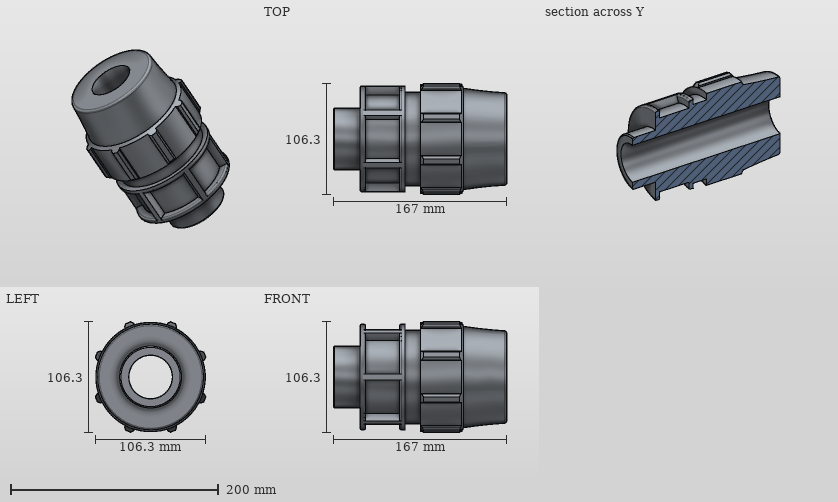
import math
import cadquery as cq


TOTAL_LENGTH = 167.0
COLLAR_START = 25.9
COLLAR_END = 69.0
COLLAR_RIM_WIDTH = 5.3
NUT_START = 83.7
NUT_END = 125.4

BORE_DIAMETER = 41.73
SPIGOT_RADIUS = 59.61 / 2
COLLAR_RADIUS = 101.7 / 2
CORE_RADIUS = 42.4
NECK_RADIUS = 90.4 / 2
NUT_RADIUS = 52.7
TAIL_START_RADIUS = 48.8
TAIL_END_RADIUS = 44.4
TAIL_SAG = 0.5

SPIGOT_CHAMFER = 1.3
COLLAR_FILLET = 1.5
WINDOW_FILLET = 1.9
TAIL_FILLET = 2.6

COLLAR_RIB_COUNT = 6
COLLAR_RIB_WIDTH = 6.0

GRIP_COUNT = 8
GRIP_TOP_RADIUS = 56.44
GRIP_TOP_WIDTH = 5.3
GRIP_SHOULDER_RADIUS = 54.0
GRIP_BASE_WIDTH = 9.4
GRIP_LEAD_LENGTH = 3.2
NUT_BEVEL_LENGTH = 2.0

GROOVE_START = COLLAR_START + COLLAR_RIM_WIDTH
GROOVE_END = COLLAR_END - COLLAR_RIM_WIDTH
NUT_BEVEL_SLOPE = (NUT_RADIUS - TAIL_START_RADIUS) / NUT_BEVEL_LENGTH


def cylinder(start, end, radius):
    """Solid cylinder on the X axis between two stations."""
    return cq.Workplane("YZ").workplane(offset=start).circle(radius).extrude(end - start)


def revolve_about_x(profile):
    """Close an (x, radius) outline and turn it a full circle about the X axis."""
    return profile.close().revolve(360, (0, 0, 0), (1, 0, 0))


def repeat_about_x(shape, count, first_angle):
    """Copies of a shape evenly spaced about the X axis, joined together."""
    pattern = cq.Workplane("YZ")
    for index in range(count):
        angle = first_angle + index * 360 / count
        pattern = pattern.union(shape.rotate((0, 0, 0), (1, 0, 0), angle))
    return pattern


def make_spigot():
    return cylinder(0, COLLAR_START, SPIGOT_RADIUS).faces("<X").edges().chamfer(SPIGOT_CHAMFER)


def make_collar():
    """Two rims around a smaller core, bridged by ribs that leave open windows."""
    front_rim = cylinder(COLLAR_START, GROOVE_START, COLLAR_RADIUS)
    front_rim = front_rim.faces("<X").edges().fillet(COLLAR_FILLET)
    front_rim = front_rim.faces(">X").edges().fillet(WINDOW_FILLET)
    rear_rim = cylinder(GROOVE_END, COLLAR_END, COLLAR_RADIUS)
    rear_rim = rear_rim.faces("<X").edges().fillet(WINDOW_FILLET)
    core = cylinder(COLLAR_START, COLLAR_END, CORE_RADIUS)

    rib_start = GROOVE_START - WINDOW_FILLET
    rib_end = GROOVE_END + WINDOW_FILLET
    bar = cq.Workplane("XY").box(
        rib_end - rib_start, COLLAR_RADIUS, COLLAR_RIB_WIDTH, centered=(False, False, True)
    ).translate((rib_start, 0, 0))
    ribs = repeat_about_x(bar, COLLAR_RIB_COUNT, 0)
    ribs = ribs.intersect(cylinder(rib_start, rib_end, COLLAR_RADIUS))
    return core.union(front_rim).union(rear_rim).union(ribs)


def make_neck():
    return cylinder(COLLAR_END, NUT_START, NECK_RADIUS)


def make_nut():
    """Nut barrel with grip ribs that narrow towards their tops, bevelled at both ends."""
    barrel = cylinder(NUT_START, NUT_END, NUT_RADIUS)

    root_radius = TAIL_START_RADIUS
    grip = (
        cq.Workplane("YZ")
        .workplane(offset=NUT_START)
        .moveTo(root_radius, -GRIP_BASE_WIDTH / 2)
        .lineTo(GRIP_SHOULDER_RADIUS, -GRIP_BASE_WIDTH / 2)
        .lineTo(GRIP_TOP_RADIUS, -GRIP_TOP_WIDTH / 2)
        .lineTo(GRIP_TOP_RADIUS, GRIP_TOP_WIDTH / 2)
        .lineTo(GRIP_SHOULDER_RADIUS, GRIP_BASE_WIDTH / 2)
        .lineTo(root_radius, GRIP_BASE_WIDTH / 2)
        .close()
        .extrude(NUT_END - NUT_START)
    )
    grips = repeat_about_x(grip, GRIP_COUNT, 180 / GRIP_COUNT)

    top_radius = math.hypot(GRIP_TOP_RADIUS, GRIP_TOP_WIDTH / 2)
    bevel_start = NUT_END - (top_radius - TAIL_START_RADIUS) / NUT_BEVEL_SLOPE
    envelope = revolve_about_x(
        cq.Workplane("XY")
        .moveTo(NUT_START, 0)
        .lineTo(NUT_START, NUT_RADIUS)
        .lineTo(NUT_START + GRIP_LEAD_LENGTH, top_radius)
        .lineTo(bevel_start, top_radius)
        .lineTo(NUT_END, TAIL_START_RADIUS)
        .lineTo(NUT_END, 0)
    )
    return barrel.union(grips).intersect(envelope)


def make_tail():
    """Slightly hollow taper behind the nut with a rounded end."""
    middle = (
        (NUT_END + TOTAL_LENGTH) / 2,
        (TAIL_START_RADIUS + TAIL_END_RADIUS) / 2 - TAIL_SAG,
    )
    tail = revolve_about_x(
        cq.Workplane("XY")
        .moveTo(NUT_END, 0)
        .lineTo(NUT_END, TAIL_START_RADIUS)
        .threePointArc(middle, (TOTAL_LENGTH, TAIL_END_RADIUS))
        .lineTo(TOTAL_LENGTH, 0)
    )
    return tail.faces(">X").edges().fillet(TAIL_FILLET)


body = make_spigot()
for section in (make_collar(), make_neck(), make_nut(), make_tail()):
    body = body.union(section)

result = body.cut(cylinder(0, TOTAL_LENGTH, BORE_DIAMETER / 2))